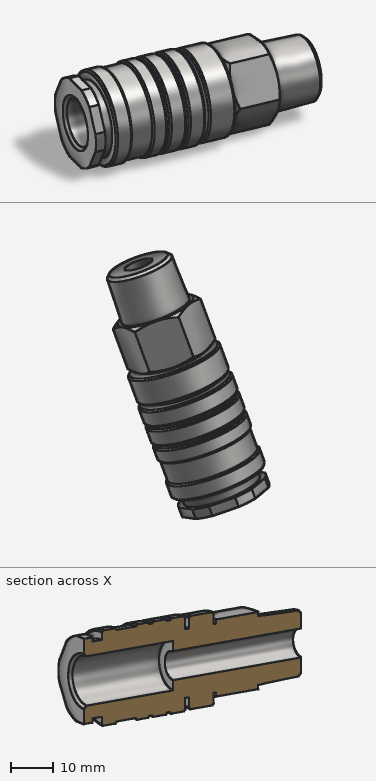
import cadquery as cq
import math

LENGTH = 61.0

HEX_CORNER_RATIO = 2 / math.sqrt(3)

FLANGE_RADIUS = 11.0
FLANGE_FLATS = 21.0
FLANGE_END = 2.5
NOSE_RADIUS = 9.5

SLEEVE_START = 5.0
SLEEVE_END = 28.5
SLEEVE_CORE_RADIUS = 11.3
BAND_RADIUS = 11.75
BANDS = [
    (SLEEVE_START, 9.3),
    (14.6, 18.5),
    (19.1, 23.5),
    (24.1, SLEEVE_END),
]
BEVEL = BAND_RADIUS - SLEEVE_CORE_RADIUS

COLLAR_RADIUS = 11.5
COLLAR_START = 29.5
COLLAR_END = 36.5

HEX_FLATS = 19.0
HEX_START = 37.0
HEX_END = 49.0
HEX_BEVEL_ANGLE = 30.0

GAUGE_RADIUS = 8.33
GAUGE_LENGTH = 6.35
TAPER = 1 / 16 / 2
THREAD_CHAMFER = 0.8
NECK_RADIUS = 8.5

SOCKET_RADIUS = 6.0
SOCKET_DEPTH = 25.0
SOCKET_MOUTH_RADIUS = 6.75
SOCKET_CHAMFER = SOCKET_MOUTH_RADIUS - SOCKET_RADIUS
PASSAGE_RADIUS = 3.5


def turned(profile):
    """Revolve a closed (radius, Y) profile around the Y axis."""
    return cq.Workplane("XY").polyline(profile).close().revolve(360, (0, 0, 0), (0, 1, 0))


def cylinder(radius, start, end):
    """Plain solid disc between two positions along Y."""
    return turned([(0, start), (radius, start), (radius, end), (0, end)])


def hexagon(across_flats, start, end):
    """Hexagonal prism along Y with corners on the X axis."""
    across_corners = across_flats * HEX_CORNER_RATIO
    prism = cq.Workplane("XZ").polygon(6, across_corners).extrude(start - end)
    return prism.translate((0, start, 0))


def bevelled_ring(radius, start, end):
    """Solid disc whose two rims are bevelled."""
    rim = radius - BEVEL
    return turned([
        (0, start),
        (rim, start),
        (radius, start + BEVEL),
        (radius, end - BEVEL),
        (rim, end),
        (0, end),
    ])


def make_flange():
    """Socket flange: disc trimmed by a hexagon, leaving short arcs at its corners."""
    disc = cylinder(FLANGE_RADIUS, 0, FLANGE_END)
    return disc.intersect(hexagon(FLANGE_FLATS, 0, FLANGE_END))


def make_sleeve():
    """Sleeve core carrying the raised bands."""
    first_end = BANDS[0][1]
    last_start = BANDS[-1][0]
    sleeve = cylinder(SLEEVE_CORE_RADIUS, first_end - BEVEL, last_start + BEVEL)
    for start, end in BANDS:
        sleeve = sleeve.union(bevelled_ring(BAND_RADIUS, start, end))
    return sleeve


def make_hex():
    """Wrench hexagon with its corners turned down conically at both ends."""
    face_radius = HEX_FLATS / 2
    corner_radius = face_radius * HEX_CORNER_RATIO
    bevel = (corner_radius - face_radius) * math.tan(math.radians(HEX_BEVEL_ANGLE))
    envelope = turned([
        (0, HEX_START),
        (face_radius, HEX_START),
        (corner_radius, HEX_START + bevel),
        (corner_radius, HEX_END - bevel),
        (face_radius, HEX_END),
        (0, HEX_END),
    ])
    return hexagon(HEX_FLATS, HEX_START, HEX_END).intersect(envelope)


def thread_radius(y):
    """Radius of the thread cone at a position along Y."""
    return GAUGE_RADIUS + (LENGTH - GAUGE_LENGTH - y) * TAPER


def make_thread():
    """Tapered thread cone with a chamfered end."""
    chamfer_start = LENGTH - THREAD_CHAMFER
    rim_radius = thread_radius(chamfer_start)
    return turned([
        (0, HEX_END),
        (thread_radius(HEX_END), HEX_END),
        (rim_radius, chamfer_start),
        (rim_radius - THREAD_CHAMFER, LENGTH),
        (0, LENGTH),
    ])


def make_bore():
    """Chamfered socket followed by the passage through to the threaded end."""
    return turned([
        (0, 0),
        (SOCKET_MOUTH_RADIUS, 0),
        (SOCKET_RADIUS, SOCKET_CHAMFER),
        (SOCKET_RADIUS, SOCKET_DEPTH),
        (PASSAGE_RADIUS, SOCKET_DEPTH),
        (PASSAGE_RADIUS, LENGTH),
        (0, LENGTH),
    ])


body = make_flange()
body = body.union(cylinder(NOSE_RADIUS, FLANGE_END, SLEEVE_START))
body = body.union(make_sleeve())
body = body.union(cylinder(NECK_RADIUS, SLEEVE_END, HEX_START))
body = body.union(bevelled_ring(COLLAR_RADIUS, COLLAR_START, COLLAR_END))
body = body.union(make_hex())
body = body.union(make_thread())
result = body.cut(make_bore())